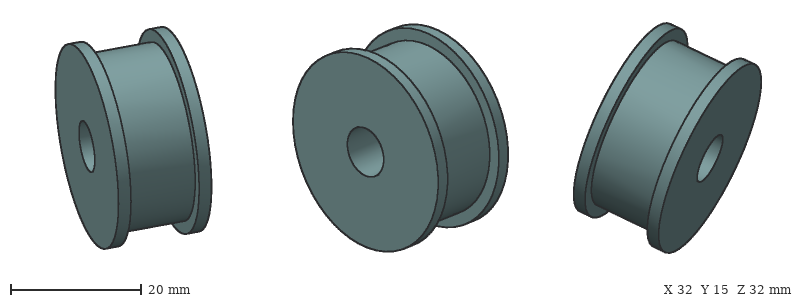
import cadquery as cq

flange_diameter = 32.0
drum_diameter = 28.0
bore_diameter = 8.0
overall_width = 15.0
flange_thickness = 2.0


def disc(diameter, width, start_y):
    """Solid disc coaxial with Y, extending from start_y towards +Y."""
    return (
        cq.Workplane("XZ", origin=(0, start_y, 0))
        .circle(diameter / 2)
        .extrude(-width)
    )


front_y = -overall_width / 2
back_flange_y = overall_width / 2 - flange_thickness
drum = disc(drum_diameter, overall_width, front_y)
front_flange = disc(flange_diameter, flange_thickness, front_y)
back_flange = disc(flange_diameter, flange_thickness, back_flange_y)

bore = disc(bore_diameter, overall_width, front_y)

result = drum.union(front_flange).union(back_flange).cut(bore)